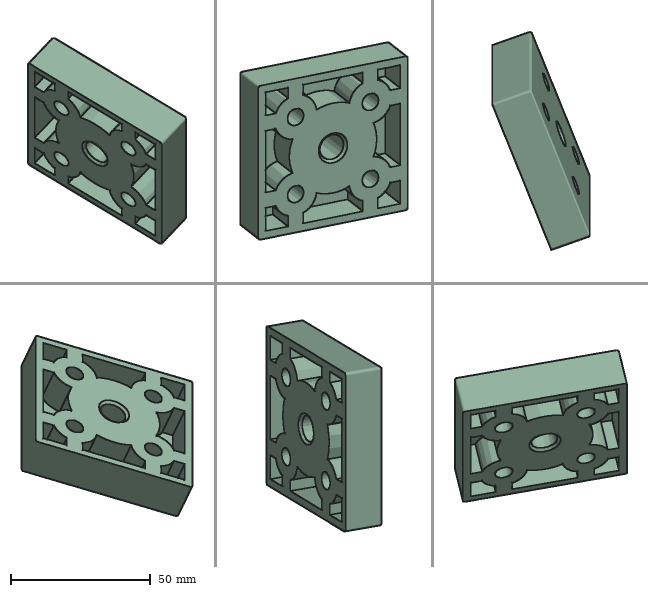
import cadquery as cq

side = 60.0
thickness = 15.0
edge_radius = 1.0

wall = 3.0
floor = 3.0
rib_width = 6.0
hub_diameter = 35.0
boss_diameter = 17.0

bolt_offset = side / 4
bolt_diameter = 6.5
bore_diameter = 9.5
bore_mouth_diameter = 11.5

open_face_y = -thickness / 2
pocket_depth = thickness - floor
inner_side = side - 2 * wall
rib_length = inner_side / 2 - bolt_offset
rib_middle = bolt_offset + rib_length / 2
bore_chamfer = (bore_mouth_diameter - bore_diameter) / 2

signs = (-1, 1)
bolt_points = [(x * bolt_offset, z * bolt_offset) for x in signs for z in signs]


def open_face():
    """Sketch plane on the -Y face; negative extrusion goes into the block."""
    return cq.Workplane("XZ", origin=(0, open_face_y, 0))


def make_block():
    """Square block with rounded corners and a rounded +Y rim."""
    block = cq.Workplane("XY").box(side, thickness, side)
    block = block.edges("|Y").fillet(edge_radius)
    return block.faces(">Y").edges().fillet(edge_radius)


def make_pockets():
    """Space inside the rim, less the hub, the bolt bosses and their ribs."""
    pockets = open_face().rect(inner_side, inner_side).extrude(-pocket_depth)
    hub = open_face().circle(hub_diameter / 2).extrude(-pocket_depth)
    bosses = open_face().pushPoints(bolt_points).circle(boss_diameter / 2).extrude(-pocket_depth)

    x_rib_points = [(x * rib_middle, z * bolt_offset) for x in signs for z in signs]
    z_rib_points = [(x * bolt_offset, z * rib_middle) for x in signs for z in signs]
    x_ribs = open_face().pushPoints(x_rib_points).rect(rib_length, rib_width).extrude(-pocket_depth)
    z_ribs = open_face().pushPoints(z_rib_points).rect(rib_width, rib_length).extrude(-pocket_depth)

    return pockets.cut(hub).cut(bosses).cut(x_ribs).cut(z_ribs)


def make_bolt_holes():
    """Four plain through holes, one in each boss."""
    return open_face().pushPoints(bolt_points).circle(bolt_diameter / 2).extrude(-thickness)


def make_bore():
    """Central through bore with a 45 degree lead-in at its -Y mouth."""
    bore = open_face().circle(bore_diameter / 2).extrude(-thickness)
    lead_in = cq.Solid.makeCone(
        bore_mouth_diameter / 2,
        bore_diameter / 2,
        bore_chamfer,
        pnt=cq.Vector(0, open_face_y, 0),
        dir=cq.Vector(0, 1, 0),
    )
    return bore.union(cq.Workplane(lead_in))


result = make_block().cut(make_pockets()).cut(make_bolt_holes()).cut(make_bore())